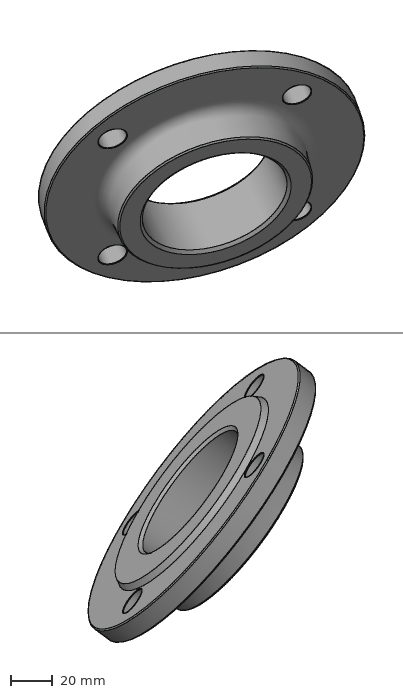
import cadquery as cq
import math

total_length = 32.0
flange_diameter = 160.0
bore_diameter = 72.2
bore_chamfer = 1.6

plate_start = 3.2
plate_thickness = 10.7
plate_chamfer = 0.6
plate_end = plate_start + plate_thickness

face_diameter = 110.0
face_base_diameter = 113.6

neck_end_diameter = 97.3
neck_taper_angle = math.radians(4.5)
neck_fillet = 6.0
rim_chamfer = 0.8

bolt_count = 4
bolt_circle_diameter = 130.0
bolt_hole_diameter = 14.0
bolt_hole_chamfer = 0.3


def neck_radius(x):
    """Radius of the tapered neck surface at position x along the axis."""
    return neck_end_diameter / 2 + (total_length - rim_chamfer - x) * math.tan(neck_taper_angle)


def make_flange():
    """Revolve the half section, in axial position and radius, about the X axis."""
    flange_radius = flange_diameter / 2
    bore_radius = bore_diameter / 2

    center_x = plate_end + neck_fillet
    center_r = neck_radius(center_x) + neck_fillet / math.cos(neck_taper_angle)
    tangent_angle = math.pi / 2 - neck_taper_angle
    arc_points = [
        (center_x - neck_fillet * math.cos(angle), center_r - neck_fillet * math.sin(angle))
        for angle in (0, tangent_angle / 2, tangent_angle)
    ]
    fillet_start, fillet_middle, fillet_end = arc_points

    section = (
        cq.Workplane("XY")
        .moveTo(0, bore_radius + bore_chamfer)
        .lineTo(0, face_diameter / 2)
        .lineTo(plate_start, face_base_diameter / 2)
        .lineTo(plate_start, flange_radius - plate_chamfer)
        .lineTo(plate_start + plate_chamfer, flange_radius)
        .lineTo(plate_end - plate_chamfer, flange_radius)
        .lineTo(plate_end, flange_radius - plate_chamfer)
        .lineTo(*fillet_start)
        .threePointArc(fillet_middle, fillet_end)
        .lineTo(total_length - rim_chamfer, neck_end_diameter / 2)
        .lineTo(total_length, neck_end_diameter / 2 - rim_chamfer)
        .lineTo(total_length, bore_radius + bore_chamfer)
        .lineTo(total_length - bore_chamfer, bore_radius)
        .lineTo(bore_chamfer, bore_radius)
        .close()
    )
    return section.revolve(360, (0, 0, 0), (1, 0, 0))


def make_bolt_holes():
    """Through holes with both rims chamfered, midway between the Y and Z axes."""
    hole_radius = bolt_hole_diameter / 2
    rim_radius = hole_radius + bolt_hole_chamfer
    cutter = (
        cq.Workplane("XY")
        .moveTo(plate_start, 0)
        .lineTo(plate_start, rim_radius)
        .lineTo(plate_start + bolt_hole_chamfer, hole_radius)
        .lineTo(plate_end - bolt_hole_chamfer, hole_radius)
        .lineTo(plate_end, rim_radius)
        .lineTo(plate_end, 0)
        .close()
        .revolve(360, (0, 0, 0), (1, 0, 0))
        .translate((0, bolt_circle_diameter / 2, 0))
    )
    spacing = 360 / bolt_count
    holes = cq.Workplane("XY")
    for index in range(bolt_count):
        holes = holes.add(cutter.rotate((0, 0, 0), (1, 0, 0), spacing * (index + 0.5)))
    return holes.combine()


result = make_flange().cut(make_bolt_holes())